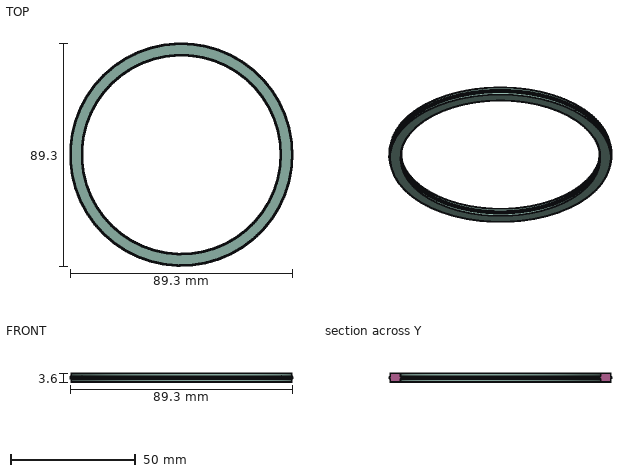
import cadquery as cq

outer_diameter = 89.3
outer_band_diameter = 88.5
inner_band_diameter = 80.1
inner_diameter = 79.3
height = 3.6
crest_height = 0.45

ridge_depth = (outer_diameter - outer_band_diameter) / 2
half_height = height / 2
half_crest = crest_height / 2
half_base = half_crest + ridge_depth


def ridge_side(band_diameter, crest_diameter):
    """Points up one side of the ring section, passing over its middle ridge."""
    band_radius = band_diameter / 2
    crest_radius = crest_diameter / 2
    return [
        (band_radius, -half_height),
        (band_radius, -half_base),
        (crest_radius, -half_crest),
        (crest_radius, half_crest),
        (band_radius, half_base),
        (band_radius, half_height),
    ]


outer_side = ridge_side(outer_band_diameter, outer_diameter)
inner_side = ridge_side(inner_band_diameter, inner_diameter)

section = cq.Workplane("XZ").polyline(outer_side + inner_side[::-1]).close()
result = section.revolve(360, (0, 0, 0), (0, 1, 0))